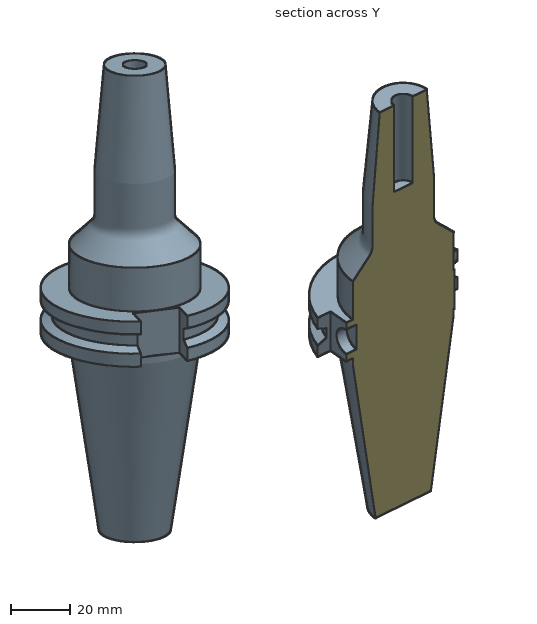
import cadquery as cq
import math

total_height = 168.2
gauge_height = 68.3
flange_bottom = 71.2
flange_top = 87.5
shoulder_height = 103.3
nose_cone_base = 130.2

flange_radius = 31.8
body_radius = 22.2
neck_radius = 13.6
tip_radius = 10.5
shank_taper = 7 / 24
shank_end_radius = body_radius - gauge_height * shank_taper / 2

shoulder_top = shoulder_height + body_radius - neck_radius
blend_radius = 5.0
blend_tangent = blend_radius * math.tan(math.radians(45 / 2))
blend_drop = blend_tangent * math.cos(math.radians(45))
blend_center_radius = neck_radius + blend_radius
blend_top = shoulder_top + blend_tangent
blend_mid_angle = math.radians(45 / 2)

groove_height = 79.4
groove_mouth = 7.0
groove_floor_radius = 28.1
groove_floor = 3.9

slot_width = 16.5
slot_floor_left = 25.0
slot_floor_right = 22.5

bore_radius = 4.0
bore_depth = 36.0
pocket_radius = 5.0
pocket_depth = 4.5


def turned_body():
    """Shank, flange blank, shoulder, neck and tapered nose as one revolved profile."""
    blend_mid = (
        blend_center_radius - blend_radius * math.cos(blend_mid_angle),
        blend_top - blend_radius * math.sin(blend_mid_angle),
    )
    return (
        cq.Workplane("XZ")
        .lineTo(shank_end_radius, 0)
        .lineTo(body_radius, gauge_height)
        .lineTo(body_radius, flange_bottom)
        .lineTo(flange_radius, flange_bottom)
        .lineTo(flange_radius, flange_top)
        .lineTo(body_radius, flange_top)
        .lineTo(body_radius, shoulder_height)
        .lineTo(neck_radius + blend_drop, shoulder_top - blend_drop)
        .threePointArc(blend_mid, (neck_radius, blend_top))
        .lineTo(neck_radius, nose_cone_base)
        .lineTo(tip_radius, total_height)
        .lineTo(0, total_height)
        .close()
        .revolve(360, (0, 0), (0, 1))
    )


def gripper_groove():
    """Ring with sloped flanks and a cylindrical floor."""
    return (
        cq.Workplane("XZ")
        .moveTo(flange_radius, groove_height - groove_mouth / 2)
        .lineTo(groove_floor_radius, groove_height - groove_floor / 2)
        .lineTo(groove_floor_radius, groove_height + groove_floor / 2)
        .lineTo(flange_radius, groove_height + groove_mouth / 2)
        .close()
        .revolve(360, (0, 0), (0, 1))
    )


def drive_slot(side, floor_distance):
    """Slot through the flange height, on the +X (side = 1) or -X (side = -1) side."""
    slot_depth = flange_radius - floor_distance
    return (
        cq.Workplane("XY", origin=(0, 0, flange_bottom))
        .center(side * (floor_distance + slot_depth / 2), 0)
        .rect(slot_depth, slot_width)
        .extrude(flange_top - flange_bottom)
    )


def tool_bore():
    """Blind bore down from the nose tip."""
    return (
        cq.Workplane("XY", origin=(0, 0, total_height))
        .circle(bore_radius)
        .extrude(-bore_depth)
    )


def slot_pocket():
    """Blind round pocket in the floor of the -X slot."""
    return (
        cq.Workplane("YZ", origin=(-slot_floor_left, 0, groove_height))
        .circle(pocket_radius)
        .extrude(pocket_depth)
    )


result = (
    turned_body()
    .cut(gripper_groove())
    .cut(drive_slot(-1, slot_floor_left))
    .cut(drive_slot(1, slot_floor_right))
    .cut(tool_bore())
    .cut(slot_pocket())
)